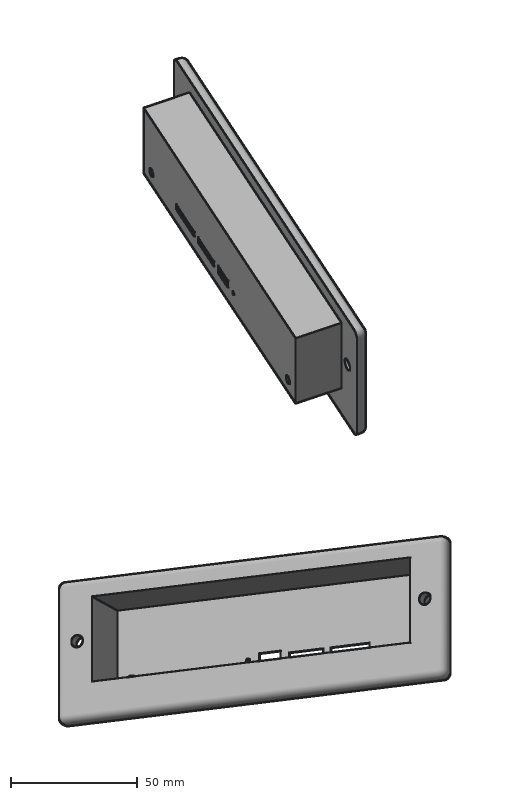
import cadquery as cq

plate_width = 169.6
plate_height = 58.3
plate_thickness = 5.0
corner_rounding = 3.0
front_rounding = 2.9

housing_width = 140.8
housing_height = 36.8
housing_depth = 20.0
housing_center_z = 3.9
wall = 1.0

mount_diameter = 5.0
mount_spacing = 151.6
mount_z = 3.7

screw_diameter = 3.5
screw_spacing = 126.5
screw_z = -7.6

opening_bottom_z = -7.0
openings = [
    (-31.9, 17.0, 2.5),
    (-12.7, 15.0, 2.5),
    (3.0, 9.3, 3.7),
]

indicator_diameter = 1.5
indicator_x = 12.5
indicator_z = -5.6


def box_along_y(width, height, center_x, center_z, y_start, y_end):
    """Block with a width x height section spanning y_start to y_end."""
    depth = y_end - y_start
    center = (center_x, y_start + depth / 2, center_z)
    return cq.Workplane("XY").box(width, depth, height).translate(center)


def drill(points, diameter):
    """Cylinders through the whole part along Y at the given (x, z) points."""
    return (
        cq.Workplane("XZ", origin=(0, plate_thickness, 0))
        .pushPoints(points)
        .circle(diameter / 2)
        .extrude(plate_thickness + housing_depth)
    )


def mirrored_points(spacing, z):
    return [(-spacing / 2, z), (spacing / 2, z)]


plate = box_along_y(plate_width, plate_height, 0, 0, 0, plate_thickness)
plate = plate.edges("|Y").fillet(corner_rounding)
plate = plate.faces(">Y").edges().fillet(front_rounding)

housing = box_along_y(housing_width, housing_height, 0, housing_center_z, -housing_depth, 0)
result = plate.union(housing)

cavity = box_along_y(
    housing_width - 2 * wall,
    housing_height - 2 * wall,
    0,
    housing_center_z,
    -housing_depth + wall,
    plate_thickness,
)
result = result.cut(cavity)

result = result.cut(drill(mirrored_points(mount_spacing, mount_z), mount_diameter))
result = result.cut(drill(mirrored_points(screw_spacing, screw_z), screw_diameter))
result = result.cut(drill([(indicator_x, indicator_z)], indicator_diameter))
for center_x, width, height in openings:
    center_z = opening_bottom_z + height / 2
    result = result.cut(
        box_along_y(width, height, center_x, center_z, -housing_depth, plate_thickness)
    )